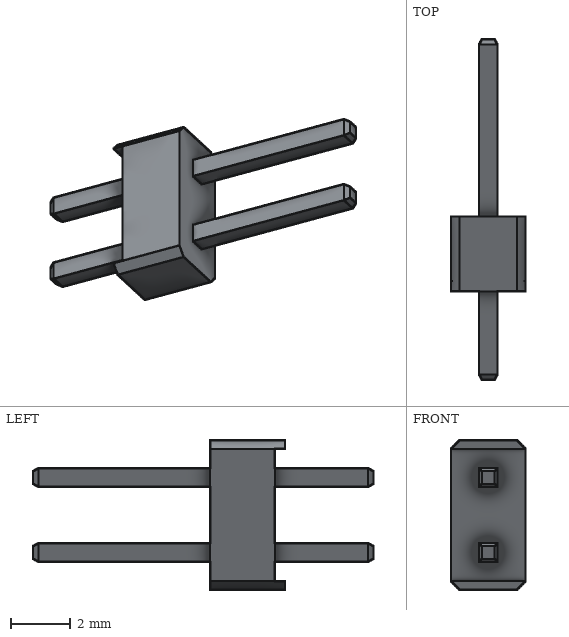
import cadquery as cq

pitch = 2.54
pin_count = 2
pin_length = 11.54
pin_width = 0.63
tip_length = 0.18
tip_inset = 0.1

housing_width = pitch
housing_depth = pitch
housing_height = pin_count * pitch
front_pin_exposure = 3.0
end_bevel = 0.3
front_recess = 0.35

front_y = -pin_length / 2 + front_pin_exposure


def make_housing():
    """Block with bevelled ends and a front face set back between two end lips."""
    block = (
        cq.Workplane("XY")
        .box(housing_width, housing_depth, housing_height, centered=(True, False, True))
        .edges("|Y")
        .chamfer(end_bevel)
    )
    recess = cq.Workplane("XY").box(
        housing_width,
        front_recess,
        housing_height - 2 * end_bevel,
        centered=(True, False, True),
    )
    return block.cut(recess).translate((0, front_y, 0))


def make_tip(direction):
    """Square frustum narrowing outward; direction is +1 for the +Y end, -1 for the -Y end."""
    base_y = direction * (pin_length / 2 - tip_length)
    end_width = pin_width - 2 * tip_inset
    return (
        cq.Workplane(cq.Plane((0, base_y, 0), (1, 0, 0), (0, direction, 0)))
        .rect(pin_width, pin_width)
        .workplane(offset=tip_length)
        .rect(end_width, end_width)
        .loft(ruled=True)
    )


def make_pin(z):
    """Square pin centred on Y with a tapered tip at each end."""
    shank = cq.Workplane("XY").box(pin_width, pin_length - 2 * tip_length, pin_width)
    return shank.union(make_tip(1)).union(make_tip(-1)).translate((0, 0, z))


result = make_housing()
for index in range(pin_count):
    pin_z = (index - (pin_count - 1) / 2) * pitch
    result = result.union(make_pin(pin_z))